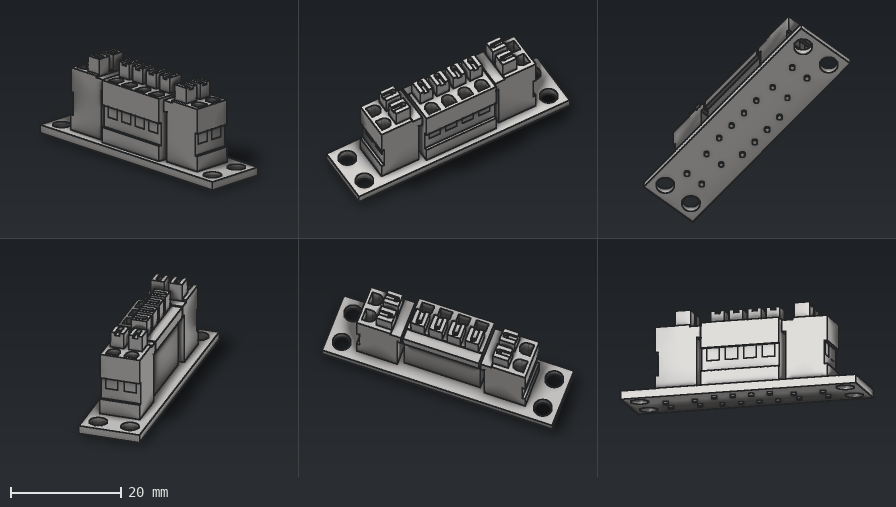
import cadquery as cq

BOARD_LENGTH = 44.45
BOARD_WIDTH = 11.7
BOARD_THICKNESS = 1.6
MOUNT_HOLE_DIAMETER = 3.3
MOUNT_HOLE_SPACING_X = 38.85
MOUNT_HOLE_SPACING_Y = 6.1

FOUR_POLE_SPAN = 10.5
POLE_PITCH = FOUR_POLE_SPAN / 3
END_MARGIN = 2.1

BODY_DEPTH = 7.85
LIP_DEPTH = 8.6
LEDGE_DEPTH = 6.55
RECESS_DEPTH = 0.55
RECESS_BOTTOM = 2.95
RECESS_TOP = 7.25
LIP_BOTTOM = 9.5
LEDGE_HEIGHT = 11.65
BODY_HEIGHT = 12.0

WIRE_HOLE_WIDTH = 2.3
WIRE_HOLE_INSET = 0.65
WIRE_HOLE_FLOOR = 4.95

BUTTON_WIDTH = 2.6
BUTTON_LENGTH = 3.0
BUTTON_TOP = 15.0
SLOT_WIDTH = 0.9
SLOT_DEPTH = 0.55
PROBE_HOLE_DIAMETER = SLOT_WIDTH
PROBE_HOLE_DEPTH = 2 * SLOT_DEPTH
PROBE_HOLE_POSITION = 5.8

PIN_ROWS = [(1.42, 1.0), (6.95, 0.9)]
PIN_PROTRUSION = 0.4
PIN_LENGTH = BOARD_THICKNESS + PIN_PROTRUSION

SIDE_FACE_X = 16.25
SIDE_POLES = 2
MIDDLE_POLES = 4


def terminal_width(poles):
    return (poles - 1) * POLE_PITCH + 2 * END_MARGIN


def pole_offsets(poles):
    return [(i - (poles - 1) / 2) * POLE_PITCH for i in range(poles)]


def box(x_start, x_end, y_center, width, z_start, z_end):
    return cq.Workplane("XY").box(
        x_end - x_start, width, z_end - z_start, centered=(False, True, False)
    ).translate((x_start, y_center, z_start))


def cylinder(x, y, diameter, z_start, height):
    return cq.Workplane("XY", origin=(x, y, z_start)).circle(diameter / 2).extrude(height)


def terminal_housing(poles):
    width = terminal_width(poles)
    return (
        cq.Workplane("XZ")
        .polyline([
            (0, 0),
            (BODY_DEPTH, 0),
            (BODY_DEPTH, LIP_BOTTOM),
            (LIP_DEPTH, LIP_BOTTOM),
            (LIP_DEPTH, LEDGE_HEIGHT),
            (LEDGE_DEPTH, LEDGE_HEIGHT),
            (LEDGE_DEPTH, BODY_HEIGHT),
            (0, BODY_HEIGHT),
            (0, RECESS_TOP),
            (RECESS_DEPTH, RECESS_TOP),
            (RECESS_DEPTH, RECESS_BOTTOM),
            (0, RECESS_BOTTOM),
        ])
        .close()
        .extrude(width / 2, both=True)
    )


def wire_hole(y):
    radius = WIRE_HOLE_WIDTH / 2
    arc_center = WIRE_HOLE_INSET + radius
    return (
        cq.Workplane("XY", origin=(0, y, WIRE_HOLE_FLOOR))
        .moveTo(arc_center, -radius)
        .threePointArc((arc_center + radius, 0), (arc_center, radius))
        .lineTo(WIRE_HOLE_INSET, radius)
        .lineTo(WIRE_HOLE_INSET, -radius)
        .close()
        .extrude(BODY_HEIGHT - WIRE_HOLE_FLOOR)
    )


def button(y):
    front = LEDGE_DEPTH - BUTTON_LENGTH
    block = box(front, LEDGE_DEPTH, y, BUTTON_WIDTH, BODY_HEIGHT, BUTTON_TOP)
    slot = box(front, PROBE_HOLE_POSITION, y, SLOT_WIDTH, BUTTON_TOP - SLOT_DEPTH, BUTTON_TOP)
    probe_hole = cylinder(
        PROBE_HOLE_POSITION, y, PROBE_HOLE_DIAMETER, BUTTON_TOP - PROBE_HOLE_DEPTH, PROBE_HOLE_DEPTH
    )
    return block.cut(slot).cut(probe_hole)


def terminal(poles):
    """Terminal with its wire-entry face at X = 0 facing -X, poles along Y."""
    body = terminal_housing(poles)
    for y in pole_offsets(poles):
        body = body.cut(wire_hole(y)).union(button(y))
        for depth, diameter in PIN_ROWS:
            body = body.union(cylinder(depth, y, diameter, -PIN_LENGTH, PIN_LENGTH))
    return body


def turned(shape, angle):
    return shape.rotate((0, 0, 0), (0, 0, 1), angle)


middle_face_y = terminal_width(SIDE_POLES) / 2 - LIP_DEPTH

left_terminal = terminal(SIDE_POLES).translate((-SIDE_FACE_X, 0, 0))
right_terminal = turned(left_terminal, 180)
middle_terminal = turned(terminal(MIDDLE_POLES), 90).translate((0, middle_face_y, 0))
terminals = [left_terminal, middle_terminal, right_terminal]


def circuit_board():
    board = (
        cq.Workplane("XY")
        .box(BOARD_LENGTH, BOARD_WIDTH, BOARD_THICKNESS, centered=(True, True, False))
        .translate((0, 0, -BOARD_THICKNESS))
        .faces(">Z")
        .workplane(origin=(0, 0, 0))
        .rarray(MOUNT_HOLE_SPACING_X, MOUNT_HOLE_SPACING_Y, 2, 2)
        .hole(MOUNT_HOLE_DIAMETER)
    )
    for part in terminals:
        board = board.cut(part)
    return board


result = cq.Compound.makeCompound([circuit_board().val(), *[part.val() for part in terminals]])